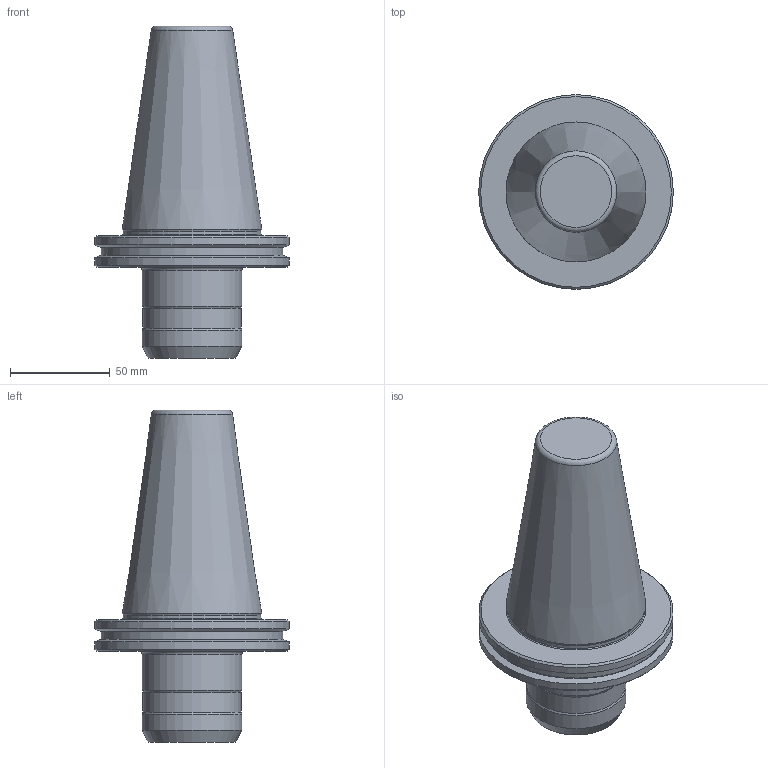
import cadquery as cq
import math


GAUGE_DIA = 69.85
TAPER_LENGTH = 101.75
TAPER_RATIO = 7 / 24
TIP_ROUND = 2.5

NECK_DIA = 69.1
NECK_CHAMFER_HEIGHT = 1.0
NECK_ROUND = 0.5

FLANGE_DIA = 97.5
FLANGE_TOP = -3.2
FLANGE_BOTTOM = -19.1
FLANGE_CHAMFER = 1.0
GROOVE_CENTRE = -11.1
GROOVE_FLOOR_DIA = 91.0
GROOVE_FLOOR_WIDTH = 4.0
GROOVE_ROUND = 0.2
GROOVE_MOUTH_WIDTH = 6.5

NOSE_DIA = 50.0
NOSE_END = -64.5
NOSE_ROOT_ROUND = 1.5
NOSE_CHAMFER_HEIGHT = 6.0
NOSE_CHAMFER_DEPTH = 3.0

BAND_DIA = 49.1
BAND_OFFSET = 14.0
BAND_WIDTH = 12.0
BAND_RAMP_HEIGHT = 1.0


def revolve_profile(profile):
    """Turn a closed XZ profile a full circle about the Z axis."""
    return profile.revolve(360, (0, 0, 0), (0, 1, 0))


def revolve_outline(points):
    """Turn a straight-sided outline of (radius, height) points about the Z axis."""
    return revolve_profile(cq.Workplane("XZ").polyline(points).close())


def round_root(radius, flange_face, size, side):
    """Ring that fills the corner between a shaft and a flange face with a concave round.

    side is +1 when the shaft rises above the face and -1 when it hangs below it.
    """
    centre_radius = radius + size
    centre_height = flange_face + side * size
    arc_offset = size * math.cos(math.pi / 4)
    profile = (
        cq.Workplane("XZ")
        .moveTo(radius, flange_face)
        .lineTo(centre_radius, flange_face)
        .threePointArc(
            (centre_radius - arc_offset, centre_height - side * arc_offset),
            (radius, centre_height),
        )
        .close()
    )
    return revolve_profile(profile)


def make_taper():
    gauge_radius = GAUGE_DIA / 2
    tip_radius = gauge_radius - TAPER_LENGTH * TAPER_RATIO / 2
    neck_radius = NECK_DIA / 2
    taper = revolve_outline([
        (0, FLANGE_TOP),
        (neck_radius, FLANGE_TOP),
        (neck_radius, -NECK_CHAMFER_HEIGHT),
        (gauge_radius, 0),
        (tip_radius, TAPER_LENGTH),
        (0, TAPER_LENGTH),
    ])
    taper = taper.faces(">Z").edges().fillet(TIP_ROUND)
    return taper.union(round_root(neck_radius, FLANGE_TOP, NECK_ROUND, 1))


def make_flange():
    thickness = FLANGE_TOP - FLANGE_BOTTOM
    rim_radius = FLANGE_DIA / 2
    flange = cq.Workplane("XY", origin=(0, 0, FLANGE_BOTTOM)).circle(rim_radius).extrude(thickness)
    flange = flange.faces("|Z").edges().chamfer(FLANGE_CHAMFER)

    floor_radius = GROOVE_FLOOR_DIA / 2
    floor_half = GROOVE_FLOOR_WIDTH / 2
    mouth_half = GROOVE_MOUTH_WIDTH / 2
    groove = revolve_outline([
        (floor_radius, GROOVE_CENTRE - floor_half),
        (rim_radius, GROOVE_CENTRE - mouth_half),
        (rim_radius, GROOVE_CENTRE + mouth_half),
        (floor_radius, GROOVE_CENTRE + floor_half),
    ])
    floor_edges = cq.selectors.RadiusNthSelector(0)
    groove = groove.edges(floor_edges).fillet(GROOVE_ROUND)
    return flange.cut(groove)


def make_nose():
    nose_radius = NOSE_DIA / 2
    band_radius = BAND_DIA / 2
    band_bottom = NOSE_END + BAND_OFFSET
    band_top = band_bottom + BAND_WIDTH
    end_radius = nose_radius - NOSE_CHAMFER_DEPTH
    nose = revolve_outline([
        (0, NOSE_END),
        (end_radius, NOSE_END),
        (nose_radius, NOSE_END + NOSE_CHAMFER_HEIGHT),
        (nose_radius, band_bottom),
        (band_radius, band_bottom + BAND_RAMP_HEIGHT),
        (band_radius, band_top - BAND_RAMP_HEIGHT),
        (nose_radius, band_top),
        (nose_radius, FLANGE_BOTTOM),
        (0, FLANGE_BOTTOM),
    ])
    return nose.union(round_root(nose_radius, FLANGE_BOTTOM, NOSE_ROOT_ROUND, -1))


result = make_flange().union(make_taper()).union(make_nose())